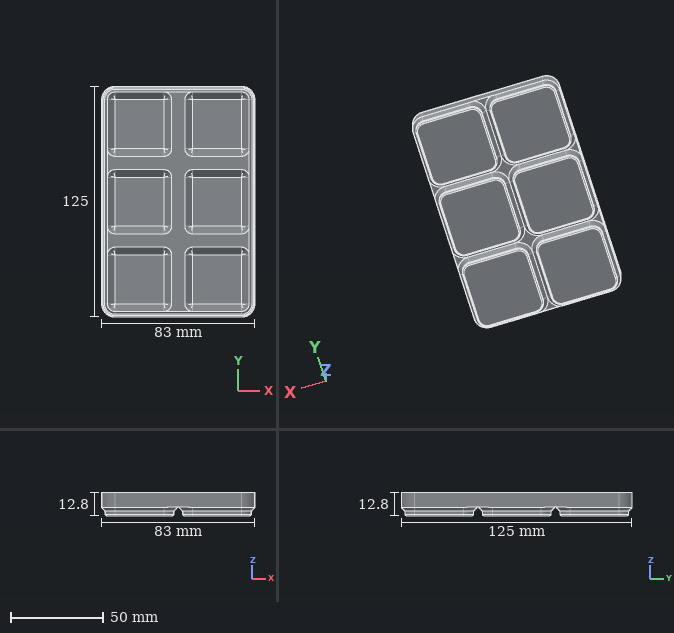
import cadquery as cq
import math

columns = 2
rows = 3
pitch = 42.0
side_clearance = 0.5

height = 12.8
corner_radius = 7.2
width = columns * pitch - 2 * side_clearance
length = rows * pitch - 2 * side_clearance

foot_height = 5.0
foot_chamfer = 0.8
foot_flare = 2.4
foot_band = foot_height - foot_chamfer - foot_flare
cell_radius = corner_radius + side_clearance

rim_width = 0.8
groove_floor_width = 0.8
groove_slope_run = 1.5
groove_depth = 1.8

wall = rim_width + groove_floor_width + groove_slope_run
tray_floor = 5.8
pocket_lip_bottom = 5.1
pocket_floor = 1.04


def tapered_block(size_x, size_y, radius, bottom, top, spread=0.0):
    """Block with rounded upright corners whose outline moves outward by spread on the way up."""
    outline = cq.Sketch().rect(size_x, size_y)
    if radius > 0:
        outline = outline.vertices().fillet(radius)
    rise = top - bottom
    taper = -math.degrees(math.atan2(spread, rise))
    return cq.Workplane("XY").workplane(offset=bottom).placeSketch(outline).extrude(rise, taper=taper)


def shell_block(inset, bottom, top, spread=0.0):
    """Block whose outline runs parallel to the outer wall at the given inset."""
    return tapered_block(width - 2 * inset, length - 2 * inset, corner_radius - inset, bottom, top, spread)


def cell_block(inset, bottom, top, spread=0.0):
    """Block whose outline runs parallel to a cell's border at the given inset."""
    size = pitch - 2 * inset
    return tapered_block(size, size, cell_radius - inset, bottom, top, spread)


def make_foot():
    """Chamfered base, upright band and flare that widens to the full cell."""
    band_bottom = foot_chamfer
    band_top = foot_chamfer + foot_band
    base = cell_block(foot_flare + foot_chamfer, 0, band_bottom, foot_chamfer)
    band = cell_block(foot_flare, band_bottom, band_top)
    flare = cell_block(foot_flare, band_top, foot_height, foot_flare)
    return base.union(band).union(flare)


def make_pocket():
    """Sharp-cornered square floor, sides sloping out to round corners, short upright lip."""
    top_inset = wall + side_clearance
    slope = cell_block(cell_radius, pocket_floor, pocket_lip_bottom, cell_radius - top_inset)
    lip = cell_block(top_inset, pocket_lip_bottom, tray_floor)
    return slope.union(lip)


def make_groove():
    """Ring cut into the rim, leaving a sharp ridge around the cavity."""
    bottom = height - groove_depth
    ridge_foot_inset = rim_width + groove_floor_width
    ridge = shell_block(ridge_foot_inset, bottom, height, -groove_slope_run)
    return shell_block(rim_width, bottom, height).cut(ridge)


centres = [
    ((column - (columns - 1) / 2) * pitch, (row - (rows - 1) / 2) * pitch)
    for column in range(columns)
    for row in range(rows)
]

foot = make_foot()
pocket = make_pocket()

body = shell_block(0, foot_height, height)
for x, y in centres:
    body = body.union(foot.translate((x, y, 0)))
body = body.intersect(shell_block(0, 0, height))

body = body.cut(shell_block(wall, tray_floor, height))
for x, y in centres:
    body = body.cut(pocket.translate((x, y, 0)))

result = body.cut(make_groove())